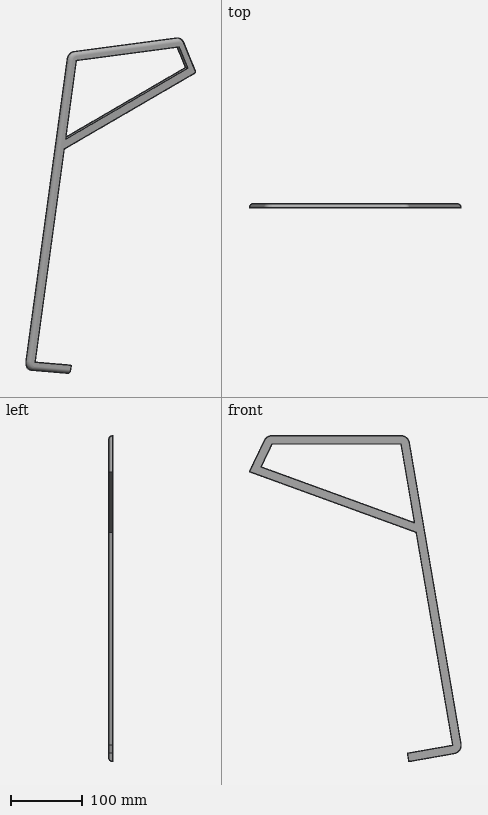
import cadquery as cq
import math

BAR_WIDTH = 12.0
THICKNESS = 6.0
OUTER_RADIUS = THICKNESS

TAIL_LENGTH = 64.0
POST_LENGTH = 425.0
TOP_LENGTH = 179.37
RAKE_LENGTH = 34.95

TAIL_ANGLE = 10.0
POST_ANGLE = 99.735
TOP_ANGLE = 180.0
RAKE_ANGLE = 244.43
BRACE_ANGLE = 340.0


def along(point, angle, distance):
    """Point reached by moving a distance in a direction."""
    turn = math.radians(angle)
    return (point[0] + distance * math.cos(turn), point[1] + distance * math.sin(turn))


def outside(point, angle):
    """Point one bar width to the outer (right-hand) side of an edge running at an angle."""
    return along(point, angle - 90, BAR_WIDTH)


def crossing(point_a, angle_a, point_b, angle_b):
    """Point where two lines, each given by a point and a direction, cross."""
    bearing = math.radians(angle_b)
    offset_x = point_b[0] - point_a[0]
    offset_z = point_b[1] - point_a[1]
    reach = offset_x * math.sin(bearing) - offset_z * math.cos(bearing)
    return along(point_a, angle_a, reach / math.sin(math.radians(angle_b - angle_a)))


knee = (0.0, 0.0)
tail_end = along(knee, TAIL_ANGLE, -TAIL_LENGTH)
top_right = along(knee, POST_ANGLE, POST_LENGTH)
top_left = along(top_right, TOP_ANGLE, TOP_LENGTH)
rake_end = along(top_left, RAKE_ANGLE, RAKE_LENGTH)

brace_foot = outside(rake_end, BRACE_ANGLE)
brace_upper = crossing(rake_end, BRACE_ANGLE, knee, POST_ANGLE)
brace_lower = crossing(brace_foot, BRACE_ANGLE, knee, POST_ANGLE)
brace_start = crossing(brace_foot, BRACE_ANGLE, rake_end, RAKE_ANGLE)
nose = crossing(brace_foot, BRACE_ANGLE, outside(rake_end, RAKE_ANGLE), RAKE_ANGLE)


def bar_section():
    """Bar section in the YZ plane, with its inner side on Z = 0 and its outer side below."""
    diagonal = OUTER_RADIUS * math.sqrt(0.5)
    round_centre = OUTER_RADIUS - BAR_WIDTH
    return (
        cq.Workplane("YZ")
        .lineTo(0, -BAR_WIDTH)
        .threePointArc((diagonal, round_centre - diagonal), (THICKNESS, round_centre))
        .lineTo(THICKNESS, 0)
        .close()
    )


def place(piece, point, angle):
    """Turn a piece from +X to an angle and move it to a point of the XZ plane."""
    return piece.rotate((0, 0, 0), (0, -1, 0), angle).translate((point[0], 0, point[1]))


def make_bar(start, angle, length):
    """Straight bar whose inner edge runs from a point at an angle."""
    return place(bar_section().extrude(length), start, angle)


def make_bend(corner, angle_in, angle_out):
    """Bend between two bars, turned about their shared inner corner."""
    turned = bar_section().revolve(angle_out - angle_in, (0, 0), (-1, 0))
    return place(turned, corner, angle_in)


def make_plate(corners):
    """Plain plate of the bar's thickness."""
    return cq.Workplane("XZ").polyline(corners).close().extrude(-THICKNESS)


def make_rake():
    """Rake bar, cut off at the nose in line with the underside of the brace."""
    overrun = 2 * BAR_WIDTH
    waste = [
        nose,
        along(nose, BRACE_ANGLE, overrun),
        along(along(nose, BRACE_ANGLE, overrun), RAKE_ANGLE, overrun),
        along(nose, RAKE_ANGLE, overrun),
    ]
    bar = make_bar(top_left, RAKE_ANGLE, RAKE_LENGTH + overrun)
    return bar.cut(make_plate(waste))


def make_brace():
    """Square-edged brace between the rake and the post."""
    return make_plate([rake_end, brace_upper, brace_lower, brace_start])


result = (
    make_bar(tail_end, TAIL_ANGLE, TAIL_LENGTH)
    .union(make_bend(knee, TAIL_ANGLE, POST_ANGLE))
    .union(make_bar(knee, POST_ANGLE, POST_LENGTH))
    .union(make_bend(top_right, POST_ANGLE, TOP_ANGLE))
    .union(make_bar(top_right, TOP_ANGLE, TOP_LENGTH))
    .union(make_bend(top_left, TOP_ANGLE, RAKE_ANGLE))
    .union(make_rake())
    .union(make_brace())
    .clean()
)